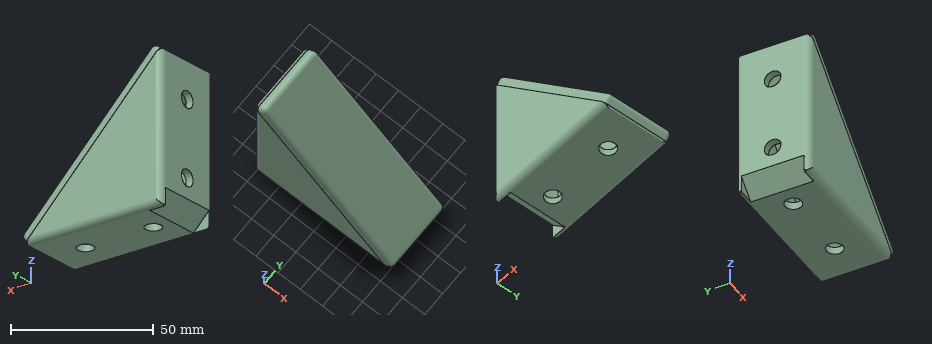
import cadquery as cq
import math

LEG = 60.0
WIDTH = 30.0
SLOPE_SUM = 61.0
SIDE_RADIUS = 2.7
HEEL_RADIUS = 1.0
TIP_RADIUS = 0.3

LEG_WALL = 3.0
SIDE_WALL = 2.4
HEEL_RELIEF = 6.9

HOLE_DIAMETER = 6.6
HOLE_POSITIONS = (15.0, 45.0)

COVER_LENGTH = 83.4
COVER_WIDTH = 29.94
COVER_THICKNESS = 4.05
COVER_RADIUS = 2.0

ROOT_TWO = math.sqrt(2.0)
MID_Y = WIDTH / 2.0


def side_prism(points, y_start, y_end):
    """Extrude an (x, z) outline along Y."""
    outline = cq.Workplane("XZ", origin=(0, y_start, 0)).polyline(points).close()
    return outline.extrude(y_start - y_end)


def edge_at(solid, x, z):
    """Select the Y-parallel edge of a solid that passes through (x, z)."""
    return solid.edges(cq.selectors.NearestToPointSelector((x, MID_Y, z)))


def make_body():
    """Solid triangular body with rounded outer edges."""
    tip = SLOPE_SUM - LEG
    outline = [(0, 0), (LEG, 0), (LEG, tip), (tip, LEG), (0, LEG)]
    body = side_prism(outline, 0, WIDTH)
    body = edge_at(body, 0, 0).fillet(HEEL_RADIUS)
    body = edge_at(body, 0, LEG).fillet(TIP_RADIUS)
    body = edge_at(body, LEG, 0).fillet(TIP_RADIUS)

    block = cq.Workplane("XY").box(LEG, WIDTH, LEG, centered=False)
    upright_rounding = block.edges("|Z and <X").fillet(SIDE_RADIUS)
    base_rounding = block.edges("|X and <Z").fillet(SIDE_RADIUS)
    return body.intersect(upright_rounding).intersect(base_rounding)


def make_cavity():
    """Hollow between the walls, its heel parallel to the relief face."""
    heel_sum = HEEL_RELIEF + LEG_WALL * ROOT_TWO
    heel = heel_sum - LEG_WALL
    tip = SLOPE_SUM - LEG_WALL
    outline = [(heel, LEG_WALL), (tip, LEG_WALL), (LEG_WALL, tip), (LEG_WALL, heel)]
    return side_prism(outline, SIDE_WALL, WIDTH - SIDE_WALL)


def make_heel_relief():
    """Triangular cut across the heel, between the side walls."""
    outline = [(0, 0), (HEEL_RELIEF, 0), (0, HEEL_RELIEF)]
    return side_prism(outline, SIDE_WALL, WIDTH - SIDE_WALL)


def make_holes():
    """Screw holes through the walls of both legs."""
    upright_points = [(MID_Y, position) for position in HOLE_POSITIONS]
    base_points = [(position, MID_Y) for position in HOLE_POSITIONS]
    upright = cq.Workplane("YZ").pushPoints(upright_points).circle(HOLE_DIAMETER / 2.0)
    base = cq.Workplane("XY").pushPoints(base_points).circle(HOLE_DIAMETER / 2.0)
    return upright.extrude(LEG_WALL).union(base.extrude(LEG_WALL))


def make_cover():
    """Cover plate lying on the slope, with rounded corners and outer edges."""
    slope_plane = cq.Plane(
        origin=(SLOPE_SUM / 2.0, MID_Y, SLOPE_SUM / 2.0),
        xDir=(1, 0, -1),
        normal=(1, 0, 1),
    )
    plate = cq.Workplane(slope_plane).rect(COVER_LENGTH, COVER_WIDTH).extrude(COVER_THICKNESS)
    corners = cq.selectors.ParallelDirSelector(slope_plane.zDir)
    outer_face = cq.selectors.DirectionMinMaxSelector(slope_plane.zDir)
    rims = plate.faces(outer_face).edges()
    return rims.add(plate.edges(corners)).fillet(COVER_RADIUS)


shell = make_body().cut(make_cavity()).cut(make_heel_relief()).cut(make_holes())
result = shell.union(make_cover())